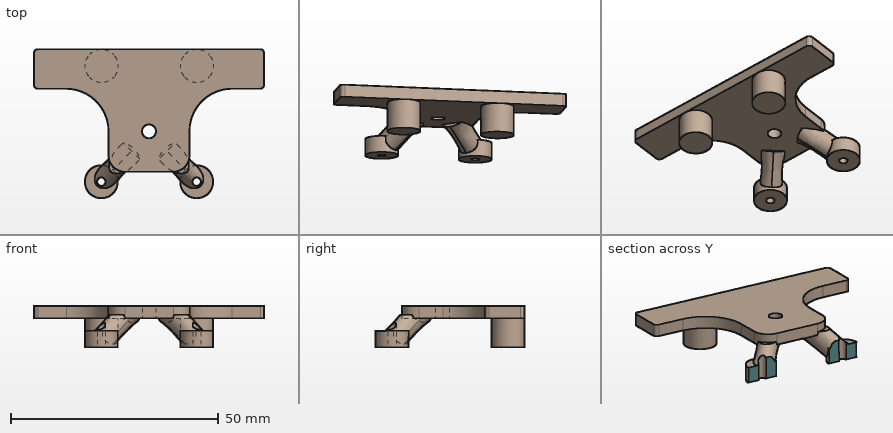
import cadquery as cq
import math

PLATE_LENGTH = 55.6
PLATE_THICKNESS = 3.0
TOP_Z = 10.0
PLATE_BOTTOM_Z = TOP_Z - PLATE_THICKNESS
BAR_DEPTH = 9.6
NECK_WIDTH = 19.6
PLATE_DEPTH = 29.6
BAR_CORNER_RADIUS = 1.0
NECK_INNER_RADIUS = 10.2
NECK_CORNER_RADIUS = 4.0

SUPPORT_SPACING_X = 23.0
SUPPORT_SPACING_Y = 28.0
SUPPORT_DIAMETER = 8.0
FOOT_HEIGHT = 4.0
FOOT_HOLE_DIAMETER = 2.0

POST_Y = SUPPORT_SPACING_Y / 2
FOOT_Y = -POST_Y
REAR_Y = POST_Y + SUPPORT_DIAMETER / 2
CENTRE_HOLE_DIAMETER = 3.3
CENTRE_HOLE_SETBACK = 19.85
CENTRE_HOLE_Y = REAR_Y - CENTRE_HOLE_SETBACK

STRUT_RUN_AT_FOOT_TOP = 3.3
STRUT_RUN_AT_PLATE = 7.1
STRUT_SECTIONS = (
    (-6.8, 3.3, 2.9),
    (0.0, 2.5, 3.0),
    (5.0, 3.5, 3.3),
)
STRUT_TOP_Z = 7.85
STRUT_HEADING = 46.0


def make_plate():
    search_margin = 1.0
    bar_front_y = REAR_Y - BAR_DEPTH
    bar_centre_y = REAR_Y - BAR_DEPTH / 2
    neck_centre_y = REAR_Y - PLATE_DEPTH / 2
    half_neck = NECK_WIDTH / 2
    base = cq.Workplane("XY").workplane(offset=PLATE_BOTTOM_Z)
    bar = base.center(0, bar_centre_y).rect(PLATE_LENGTH, BAR_DEPTH).extrude(PLATE_THICKNESS)
    neck = base.center(0, neck_centre_y).rect(NECK_WIDTH, PLATE_DEPTH).extrude(PLATE_THICKNESS)
    bar = bar.edges("|Z").fillet(BAR_CORNER_RADIUS)
    neck = neck.edges("|Z and <Y").fillet(NECK_CORNER_RADIUS)
    inner_corners = cq.selectors.BoxSelector(
        (-half_neck - search_margin, bar_front_y - search_margin, 0),
        (half_neck + search_margin, bar_front_y + search_margin, TOP_Z),
    )
    return bar.union(neck).edges("|Z").edges(inner_corners).fillet(NECK_INNER_RADIUS)


def make_cylinder(x, y, diameter, height):
    return cq.Workplane("XY").center(x, y).circle(diameter / 2).extrude(height)


def make_strut(side):
    """Waisted oval bar leaning from a foot toward the middle of the neck."""
    heading = math.radians(STRUT_HEADING)
    step_x = -side * math.cos(heading)
    step_y = math.sin(heading)
    middle_run = (STRUT_RUN_AT_FOOT_TOP + STRUT_RUN_AT_PLATE) / 2
    middle = cq.Vector(
        side * SUPPORT_SPACING_X / 2 + step_x * middle_run,
        FOOT_Y + step_y * middle_run,
        (FOOT_HEIGHT + PLATE_BOTTOM_Z) / 2,
    )
    run = STRUT_RUN_AT_PLATE - STRUT_RUN_AT_FOOT_TOP
    rise = PLATE_BOTTOM_Z - FOOT_HEIGHT
    axis = cq.Vector(step_x * run, step_y * run, rise)
    across = cq.Vector(step_y, -step_x, 0)

    strut = cq.Workplane(cq.Plane(origin=middle, xDir=across, normal=axis))
    previous = 0.0
    for distance, half_width, half_height in STRUT_SECTIONS:
        strut = strut.workplane(offset=distance - previous).ellipse(half_width, half_height)
        previous = distance

    height_limit = cq.Workplane("XY").rect(PLATE_LENGTH, PLATE_LENGTH).extrude(STRUT_TOP_Z)
    return strut.loft().intersect(height_limit)


result = make_plate()
for side in (-1, 1):
    support_x = side * SUPPORT_SPACING_X / 2
    post = make_cylinder(support_x, POST_Y, SUPPORT_DIAMETER, PLATE_BOTTOM_Z)
    foot = make_cylinder(support_x, FOOT_Y, SUPPORT_DIAMETER, FOOT_HEIGHT)
    foot_hole = make_cylinder(support_x, FOOT_Y, FOOT_HOLE_DIAMETER, TOP_Z)
    result = result.union(post).union(foot).union(make_strut(side)).cut(foot_hole)
result = result.cut(make_cylinder(0, CENTRE_HOLE_Y, CENTRE_HOLE_DIAMETER, TOP_Z))